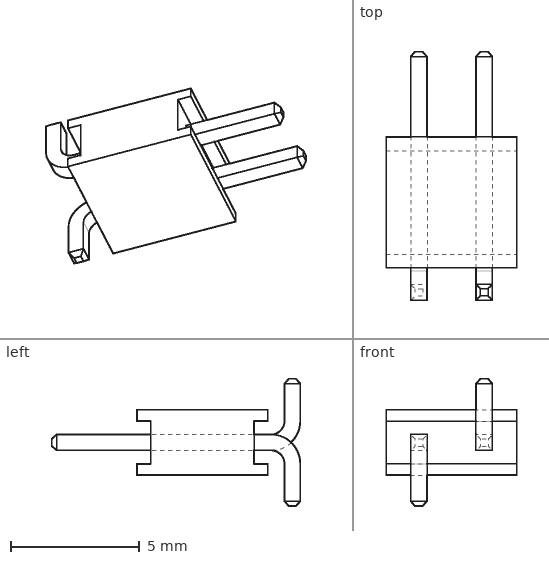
import cadquery as cq

PITCH = 2.54
PIN_COUNT = 2
HOUSING_WIDTH = PIN_COUNT * PITCH
HOUSING_LENGTH = 5.08
HOUSING_HEIGHT = 2.54
RECESS_DEPTH = 0.53
LIP_THICKNESS = 0.44

PIN_WIDTH = 0.64
PIN_THICKNESS = 0.62
BEND_INNER_RADIUS = 0.52
BEND_OUTER_RADIUS = BEND_INNER_RADIUS + PIN_THICKNESS
OVERALL_LENGTH = 9.65
OVERALL_HEIGHT = 4.95
FRONT_REACH = 1.26
TIP_LENGTH = 0.2
TIP_INSET = 0.17

LEG_FRONT_Y = -HOUSING_LENGTH / 2 - FRONT_REACH
LEG_BACK_Y = LEG_FRONT_Y + PIN_THICKNESS
LEG_CENTER_Y = LEG_FRONT_Y + PIN_THICKNESS / 2
BEND_START_Y = LEG_FRONT_Y + BEND_OUTER_RADIUS
BEND_END_Z = BEND_INNER_RADIUS + PIN_THICKNESS / 2
REAR_END_Y = LEG_FRONT_Y + OVERALL_LENGTH
LEG_END_Z = OVERALL_HEIGHT / 2


def pin_x(index):
    return (index - (PIN_COUNT - 1) / 2) * PITCH


def make_housing():
    body = cq.Workplane("XY").box(HOUSING_WIDTH, HOUSING_LENGTH, HOUSING_HEIGHT)
    recess = cq.Workplane("XY").box(HOUSING_WIDTH, RECESS_DEPTH, HOUSING_HEIGHT - 2 * LIP_THICKNESS)
    recess_y = (HOUSING_LENGTH - RECESS_DEPTH) / 2
    for side in (-1, 1):
        body = body.cut(recess.translate((0, side * recess_y, 0)))
    for index in range(PIN_COUNT):
        hole = cq.Workplane("XY").box(PIN_WIDTH, HOUSING_LENGTH, PIN_THICKNESS)
        body = body.cut(hole.translate((pin_x(index), 0, 0)))
    return body


def make_tip(plane):
    """Tapered pin end, rising from the full section at the plane's origin."""
    return (
        cq.Workplane(plane)
        .rect(PIN_WIDTH, PIN_THICKNESS)
        .workplane(offset=TIP_LENGTH)
        .rect(PIN_WIDTH - 2 * TIP_INSET, PIN_THICKNESS - 2 * TIP_INSET)
        .loft(ruled=True)
    )


def make_upward_pin():
    """Pin centred on X = 0 with its front leg pointing up."""
    half_thickness = PIN_THICKNESS / 2
    leg_taper_z = LEG_END_Z - TIP_LENGTH
    rear_taper_y = REAR_END_Y - TIP_LENGTH
    wire = (
        cq.Workplane("YZ")
        .moveTo(rear_taper_y, -half_thickness)
        .lineTo(BEND_START_Y, -half_thickness)
        .radiusArc((LEG_FRONT_Y, BEND_END_Z), BEND_OUTER_RADIUS)
        .lineTo(LEG_FRONT_Y, leg_taper_z)
        .lineTo(LEG_BACK_Y, leg_taper_z)
        .lineTo(LEG_BACK_Y, BEND_END_Z)
        .radiusArc((BEND_START_Y, half_thickness), -BEND_INNER_RADIUS)
        .lineTo(rear_taper_y, half_thickness)
        .close()
        .extrude(PIN_WIDTH / 2, both=True)
    )
    rear_plane = cq.Plane(origin=(0, rear_taper_y, 0), xDir=(1, 0, 0), normal=(0, 1, 0))
    leg_plane = cq.Plane(origin=(0, LEG_CENTER_Y, leg_taper_z), xDir=(1, 0, 0), normal=(0, 0, 1))
    return wire.union(make_tip(rear_plane)).union(make_tip(leg_plane))


def make_pin(index):
    """Pins alternate along X: the first leg points down, the next one up."""
    pin = make_upward_pin()
    if index % 2 == 0:
        pin = pin.mirror("XY")
    return pin.translate((pin_x(index), 0, 0))


housing = make_housing()
pins = [make_pin(index) for index in range(PIN_COUNT)]

result = cq.Compound.makeCompound([housing.solids().val(), *[pin.solids().val() for pin in pins]])